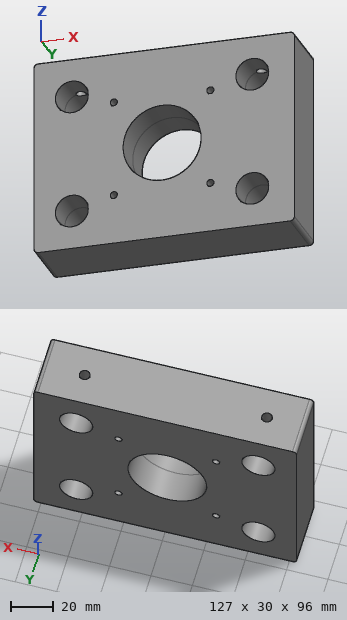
import cadquery as cq

length = 127.0
thickness = 30.0
height = 96.0
corner_radius = 2.0

hole_center_x = -1.0

bore_diameter = 38.0

guide_diameter = 16.0
guide_spacing_x = 88.0
guide_spacing_z = 58.0

screw_diameter = 3.4
screw_spacing = 47.1

set_screw_diameter = 5.0


def through_holes(points, diameter):
    """Cylinders along Y through the full thickness at the given (x, z) points."""
    return (
        cq.Workplane("XZ")
        .pushPoints(points)
        .circle(diameter / 2)
        .extrude(thickness, both=True)
    )


def rectangle_corners(spacing_x, spacing_z):
    """Corner points of a rectangle about the hole centre."""
    return [
        (hole_center_x + side_x * spacing_x / 2, side_z * spacing_z / 2)
        for side_x in (-1, 1)
        for side_z in (-1, 1)
    ]


block = cq.Workplane("XY").box(length, thickness, height).edges("|Y").fillet(corner_radius)

bore = through_holes([(hole_center_x, 0)], bore_diameter)
guide_holes = through_holes(rectangle_corners(guide_spacing_x, guide_spacing_z), guide_diameter)
screw_holes = through_holes(rectangle_corners(screw_spacing, screw_spacing), screw_diameter)

guide_z = guide_spacing_z / 2
set_screw_holes = (
    cq.Workplane("XY")
    .workplane(offset=guide_z)
    .pushPoints([(hole_center_x + side * guide_spacing_x / 2, 0) for side in (-1, 1)])
    .circle(set_screw_diameter / 2)
    .extrude(height / 2 - guide_z)
)

result = block.cut(bore).cut(guide_holes).cut(screw_holes).cut(set_screw_holes)